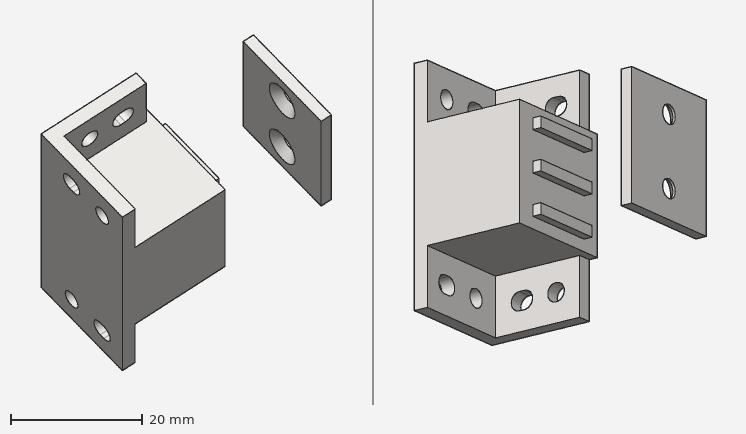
import cadquery as cq

HOUSING_SIDE = 20.0
HOUSING_HEIGHT = 40.0
WALL = 2.5
STEP = 1.5
BLOCK_HEIGHT = HOUSING_HEIGHT / 2

RIB_LENGTH = 13.15
RIB_HEIGHT = 1.9
RIB_DEPTH = 1.5
RIB_PITCH = 7.0

HOLE_DIAMETER = 3.1
SLOT_LENGTH = 4.0
HOLE_ROW_Z = HOUSING_HEIGHT / 2 - 5.0
NEAR_HOLE = 7.5
FRONT_FAR_HOLE = 15.0
SIDE_FAR_HOLE = 14.0

OVERALL_DEPTH = 41.0
PLATE_WIDTH = 19.2
PLATE_HEIGHT = 22.1
PLATE_THICKNESS = 2.0
PLATE_HOLE_PITCH = 12.0
PLATE_HOLE_DIAMETER = 3.2
COUNTERSINK_DIAMETER = 6.3
COUNTERSINK_ANGLE = 90.0


def centred_box(width, depth, height):
    """Box from the origin along +X and +Y, centred on Z."""
    return cq.Workplane("XY").box(width, depth, height, centered=(False, False, True))


def hole_cutters(plane, circles, slots):
    """Round holes and horizontal slots running through one flange thickness."""
    holes = cq.Workplane(plane).pushPoints(circles).circle(HOLE_DIAMETER / 2).extrude(WALL)
    slotted = cq.Workplane(plane).pushPoints(slots).slot2D(SLOT_LENGTH, HOLE_DIAMETER).extrude(WALL)
    return holes.union(slotted)


def make_housing():
    front_flange = centred_box(HOUSING_SIDE, WALL, HOUSING_HEIGHT)
    side_flange = centred_box(WALL, HOUSING_SIDE - STEP, HOUSING_HEIGHT)
    block = centred_box(HOUSING_SIDE, HOUSING_SIDE, BLOCK_HEIGHT)
    body = front_flange.union(side_flange).union(block)

    for row in (-1, 0, 1):
        rib = cq.Workplane("XY").box(RIB_LENGTH, RIB_DEPTH, RIB_HEIGHT, centered=(True, False, True))
        body = body.union(rib.translate((HOUSING_SIDE / 2, HOUSING_SIDE, row * RIB_PITCH)))

    front_plane = cq.Plane(origin=(0, 0, 0), xDir=(-1, 0, 0), normal=(0, 1, 0))
    front_holes = hole_cutters(
        front_plane,
        circles=[(-FRONT_FAR_HOLE, HOLE_ROW_Z), (-NEAR_HOLE, -HOLE_ROW_Z)],
        slots=[(-NEAR_HOLE, HOLE_ROW_Z), (-FRONT_FAR_HOLE, -HOLE_ROW_Z)],
    )
    side_holes = hole_cutters(
        "YZ",
        circles=[(NEAR_HOLE, HOLE_ROW_Z), (SIDE_FAR_HOLE, -HOLE_ROW_Z)],
        slots=[(SIDE_FAR_HOLE, HOLE_ROW_Z), (NEAR_HOLE, -HOLE_ROW_Z)],
    )
    return body.cut(front_holes).cut(side_holes)


def make_counter_plate():
    """Plate with two holes countersunk from the face toward the housing."""
    plate = cq.Workplane("XY").box(PLATE_WIDTH, PLATE_THICKNESS, PLATE_HEIGHT)
    plate = (
        plate.faces("<Y").workplane(centerOption="CenterOfBoundBox")
        .pushPoints([(0, PLATE_HOLE_PITCH / 2), (0, -PLATE_HOLE_PITCH / 2)])
        .cskHole(PLATE_HOLE_DIAMETER, COUNTERSINK_DIAMETER, COUNTERSINK_ANGLE)
    )
    return plate.translate((HOUSING_SIDE / 2, OVERALL_DEPTH - PLATE_THICKNESS / 2, 0))


housing = make_housing()
counter_plate = make_counter_plate()
result = cq.Compound.makeCompound([housing.val(), counter_plate.val()])